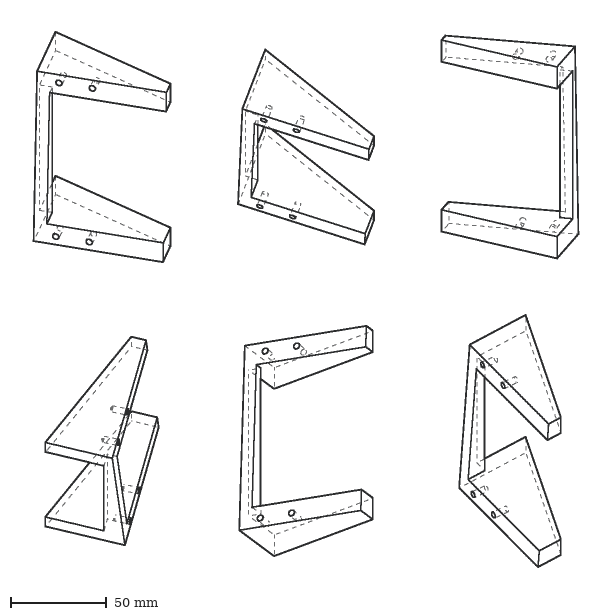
import cadquery as cq
import math

length = 70.0
depth = 42.9
height = 105.0

arm_thickness = 12.0
web_thickness = 7.0
web_depth = 11.4
end_depth = 14.8
front_setback = 6.8

hole_diameter = 3.3
hole_depth = 8.4
drill_point_angle = 118.0
hole_columns = (12.0, 30.0)
hole_edge_distance = 5.0
hole_rows = (hole_edge_distance, height - hole_edge_distance)

lean = math.atan2(front_setback, height)


def leaning_block():
    """Solid block with a leaning front face, running the full length."""
    return (
        cq.Workplane("YZ")
        .polyline([(0, 0), (depth, 0), (depth, height), (front_setback, height)])
        .close()
        .extrude(length)
    )


def tapered_block():
    """Full-height block whose back tapers towards the far end."""
    return (
        cq.Workplane("XY")
        .polyline([(0, 0), (length, 0), (length, end_depth), (0, depth)])
        .close()
        .extrude(height)
    )


def arm_gap(x_start, y_start):
    """Open space between the two arms, beyond the given X and Y."""
    return cq.Workplane("XY").box(
        length, depth, height - 2 * arm_thickness, centered=False
    ).translate((x_start, y_start, arm_thickness))


def screw_hole(x, z):
    """Drilled hole with a conical end, entering the front face at (x, z)."""
    radius = hole_diameter / 2
    point_depth = radius / math.tan(math.radians(drill_point_angle / 2))
    entry = cq.Vector(x, z * math.tan(lean), z)
    inward = cq.Vector(0, math.cos(lean), -math.sin(lean))
    shank = cq.Solid.makeCylinder(radius, hole_depth, entry, inward)
    point = cq.Solid.makeCone(radius, 0, point_depth, entry + inward * hole_depth, inward)
    return shank.fuse(point)


result = leaning_block().intersect(tapered_block())
result = result.cut(arm_gap(web_thickness, 0))
result = result.cut(arm_gap(0, web_depth))

for hole_x in hole_columns:
    for hole_z in hole_rows:
        result = result.cut(cq.Workplane(screw_hole(hole_x, hole_z)))